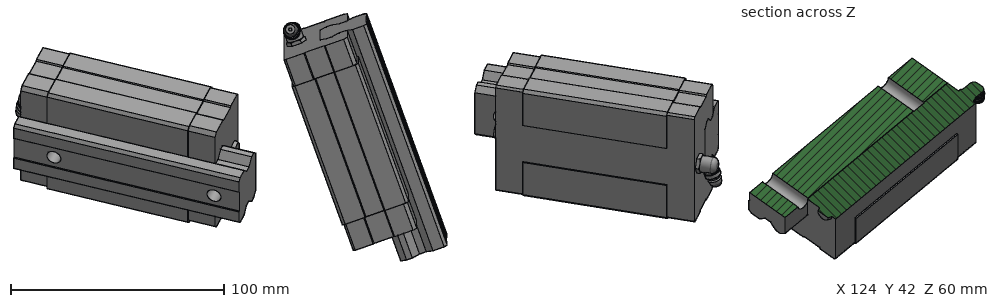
import cadquery as cq
import math

fitting_y = 34.8
hex_corner_diameter = 9.4
hex_length = 1.9
hex_bevel_depth = 0.6
hex_bevel_length = 0.4
elbow_diameter = 8.0
elbow_length = 9.5
elbow_round = 2.5
nipple_offset = 5.5
nipple_tilt = 20
collar_radius = 7.8 / 2
collar_start = 3.5
collar_end = 5.8
collar_bevel = 0.2
stem_radius = 7.0 / 2
neck_radius = 5.5 / 2
head_radius = 6.7 / 2
head_start = 7.1
head_shoulder = 7.7
head_bevel_start = 9.7
head_bevel_radius = 2.9
tip_radius = 2.2
nipple_length = 10.9
grease_hole_radius = 0.7
grease_hole_depth = 1.2
plug_diameter = 8.0
plug_end_diameter = 6.6
plug_length = 1.9

overall_length = 124.0
tilt = math.radians(nipple_tilt)
nipple_reach = nipple_offset + max(
    radius * math.cos(tilt) + distance * math.sin(tilt)
    for radius, distance in ((head_bevel_radius, head_bevel_start), (tip_radius, nipple_length))
)

rail_length = overall_length - nipple_reach
rail_half_width = 14.0
rail_waist_half_width = 10.7
rail_top_half_width = 11.5
rail_height = 23.2
rail_base_chamfer = 1.5
rail_waist_start = 7.1
rail_waist_floor_start = rail_waist_start + rail_half_width - rail_waist_half_width
rail_waist_floor_end = 13.8
rail_waist_end = 17.4
rail_top_chamfer_start = 20.2
base_groove_half_width = 6.2
base_groove_depth = 0.4
bolt_hole_diameter = 7.0
bolt_hole_pitch = 80.0
first_bolt_hole_x = 20.0

carriage_length = 97.0
block_length = 70.3
cap_length = (carriage_length - block_length) / 2
block_half_width = 30.0
block_bottom = 8.9
block_top = 42.0
block_chamfer = 1.5
cap_inset = 0.7
cap_half_width = 29.6
cap_bottom = block_bottom + cap_inset
cap_top = block_top - cap_inset
cap_bottom_chamfer = 1.9
cap_top_chamfer = 1.0
top_recess_half_width = 10.4

recess_bottom = 20.7
recess_slope = 0.5
block_recess_top = 30.6
block_recess_depth = 0.4
cap_recess_top = 31.4
cap_recess_depth = 0.7


def mirrored_prism(half_outline, start_x, length):
    """Extrude along X the (Y, Z) outline completed by its mirror image in Z."""
    other_half = [(y, -z) for y, z in reversed(half_outline)]
    outline = cq.Workplane("YZ", origin=(start_x, 0, 0)).polyline(half_outline + other_half).close()
    return outline.extrude(length)


def rail_prism():
    half_outline = [
        (base_groove_depth, base_groove_half_width - base_groove_depth),
        (0, base_groove_half_width),
        (0, rail_half_width - rail_base_chamfer),
        (rail_base_chamfer, rail_half_width),
        (rail_waist_start, rail_half_width),
        (rail_waist_floor_start, rail_waist_half_width),
        (rail_waist_floor_end, rail_waist_half_width),
        (rail_waist_end, rail_half_width),
        (rail_top_chamfer_start, rail_half_width),
        (rail_height, rail_top_half_width),
    ]
    return mirrored_prism(half_outline, 0, rail_length)


def make_rail():
    rail = rail_prism()
    for index in range(2):
        hole_x = first_bolt_hole_x + index * bolt_hole_pitch
        hole = (
            cq.Workplane("XZ", origin=(hole_x, 0, 0))
            .circle(bolt_hole_diameter / 2)
            .extrude(-rail_height)
        )
        rail = rail.cut(hole)
    return rail


def carriage_section(
    start_x, length, half_width, bottom, top, bottom_chamfer, top_chamfer, recess_top, recess_depth
):
    """A length of carriage with chamfered corners and a shallow recess on both sides."""
    half_outline = [
        (bottom, half_width - bottom_chamfer),
        (bottom + bottom_chamfer, half_width),
        (recess_bottom, half_width),
        (recess_bottom + recess_slope, half_width - recess_depth),
        (recess_top - recess_slope, half_width - recess_depth),
        (recess_top, half_width),
        (top - top_chamfer, half_width),
        (top, half_width - top_chamfer),
    ]
    return mirrored_prism(half_outline, start_x, length)


def make_block():
    block = carriage_section(
        cap_length, block_length, block_half_width, block_bottom, block_top,
        block_chamfer, block_chamfer, block_recess_top, block_recess_depth,
    )
    top_recess = cq.Workplane("XY").box(
        block_length, cap_inset, 2 * top_recess_half_width, centered=(False, False, True)
    )
    return block.cut(top_recess.translate((cap_length, cap_top, 0)))


def make_cap(start_x):
    return carriage_section(
        start_x, cap_length, cap_half_width, cap_bottom, cap_top,
        cap_bottom_chamfer, cap_top_chamfer, cap_recess_top, cap_recess_depth,
    )


def make_nipple():
    """Turned nipple, tilted down and away from the cap, starting inside the elbow."""
    half_profile = [
        (0, 0),
        (stem_radius, 0),
        (stem_radius, collar_start),
        (collar_radius - collar_bevel, collar_start),
        (collar_radius, collar_start + collar_bevel),
        (collar_radius, collar_end - collar_bevel),
        (collar_radius - collar_bevel, collar_end),
        (neck_radius, collar_end),
        (neck_radius, head_start),
        (head_radius, head_shoulder),
        (head_bevel_radius, head_bevel_start),
        (tip_radius, nipple_length),
        (grease_hole_radius, nipple_length),
        (grease_hole_radius, nipple_length - grease_hole_depth),
        (0, nipple_length - grease_hole_depth),
    ]
    nipple_plane = cq.Plane(
        origin=(-nipple_offset, fitting_y, 0),
        xDir=(math.cos(tilt), 0, -math.sin(tilt)),
        normal=(0, 1, 0),
    )
    return cq.Workplane(nipple_plane).polyline(half_profile).close().revolve(360, (0, 0), (0, 1))


def make_fitting():
    cap_face = cq.Workplane("YZ", origin=(0, fitting_y, 0))
    bevelled_disc = (
        cap_face.circle(hex_corner_diameter / 2)
        .extrude(-hex_length)
        .faces("<X")
        .chamfer(hex_bevel_length, hex_bevel_depth)
    )
    hexagon = cap_face.polygon(6, hex_corner_diameter).extrude(-hex_length).intersect(bevelled_disc)
    elbow = cap_face.circle(elbow_diameter / 2).extrude(-elbow_length).faces("<X").edges().fillet(elbow_round)
    return hexagon.union(elbow).union(make_nipple())


def make_plug():
    return (
        cq.Workplane("YZ", origin=(carriage_length, fitting_y, 0))
        .circle(plug_diameter / 2)
        .workplane(offset=plug_length)
        .circle(plug_end_diameter / 2)
        .loft()
    )


def make_carriage():
    carriage = make_block()
    for start_x in (0, cap_length + block_length):
        carriage = carriage.union(make_cap(start_x))
    carriage = carriage.cut(rail_prism())
    return carriage.union(make_fitting()).union(make_plug())


rail = make_rail()
carriage = make_carriage()
result = cq.Compound.makeCompound([rail.solids().val(), carriage.solids().val()])